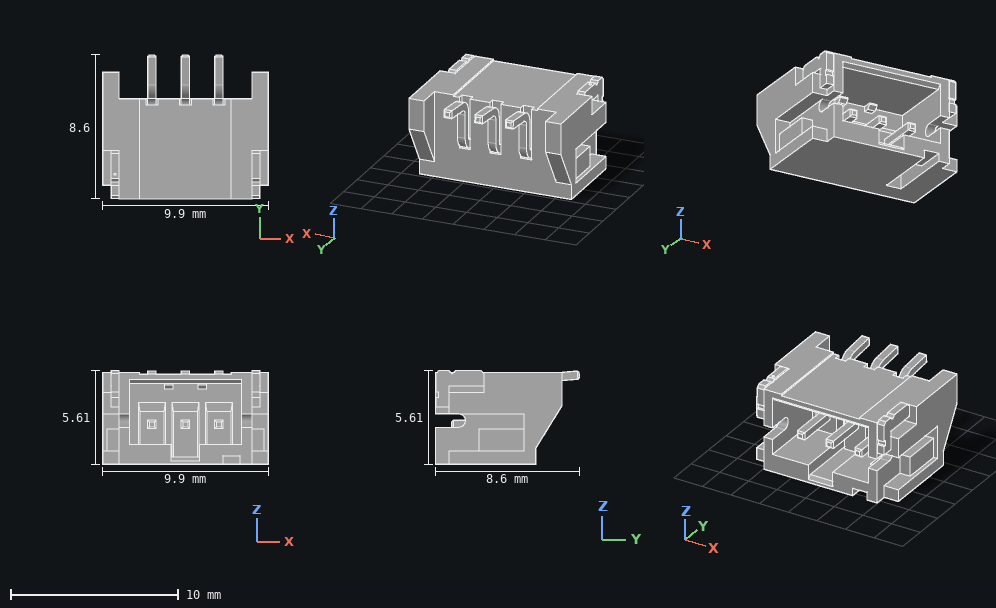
import cadquery as cq
import math


ear_half_width = 4.95
shroud_half_width = 3.96
housing_height = 5.49
shroud_depth = 6.0
ear_depth = 7.57
ear_slope_top = 3.51
ear_slope_bottom = 0.96
ear_front = 0.81
top_recess_half_width = 2.73
top_recess_depth = 0.1

ledge_depth = 2.91
ledge_height = 4.31
pocket_rear = 5.3
pocket_bottom = 0.8
pocket_top = 3.01
rib_outer_half_width = 4.68
rib_front = 2.6
rib_top = 2.11

cavity_half_width = 3.35
cavity_floor = 1.2
cavity_ceiling = 4.82
cavity_rear = 4.6
ceiling_chamfer = 0.25
key_slot_half_width = 0.85
key_slot_floor = 0.45
key_slot_chamfer = 0.23

wall_slot_bottom = 2.22
wall_slot_end = 1.79

ceiling_rib_width = 0.51
ceiling_rib_drop = 0.33
ceiling_rib_chamfer = 0.25

groove_left = 2.25
groove_right = 3.25
groove_height = 0.51
window_front = 2.08

pitch = 2.0
contact_x = [-pitch, 0, pitch]
contact_size = 0.5
contact_z = 2.39
contact_tip = 0.97
tip_chamfer = 0.11
bend_radius = 0.64
upper_bend_z = 4.54
tail_angle = 5.0
tail_length = 1.77
exit_width = 0.7
exit_depth = 0.4

block_front = 3.96
block_half_width = 0.8
block_front_half_width = 0.72
block_top = 3.7
block_front_top = 3.16

tab_thickness = 0.48
tab_top = 5.61
tab_front = 0.03
tab_foot_bottom = 4.68
tab_leg_bottom = 3.42
tab_chamfer = 0.19
vee_depth = 0.21
vee_y = 1.01
notch_depth = 0.16
notch_bottom = 4.0
notch_top = 4.32
dimple_length = 0.12
dimple_width = 0.08
dimple_depth = 0.05
dimple_y = 1.48


def box(x0, x1, y0, y1, z0, z1):
    """Box between two opposite corners."""
    return cq.Workplane().box(x1 - x0, y1 - y0, z1 - z0, centered=False).translate((x0, y0, z0))


def side_prism(outline, x0, x1):
    """Outline of (y, z) points extruded along X from x0 to x1."""
    return cq.Workplane("YZ").polyline(outline).close().extrude(x1 - x0).translate((x0, 0, 0))


def both_sides(shape):
    """The shape together with its mirror image across X = 0."""
    return shape.union(shape.mirror("YZ"))


def make_ear():
    """Side ear at +X, with the tab ledge and the outer pocket cut into it."""
    outline = [
        (ear_front, 0),
        (shroud_depth, 0),
        (shroud_depth, ear_slope_bottom),
        (ear_depth, ear_slope_top),
        (ear_depth, housing_height),
        (ledge_depth, housing_height),
        (ledge_depth, ledge_height),
        (ear_front, ledge_height),
    ]
    ear = side_prism(outline, shroud_half_width, ear_half_width)
    pocket = box(shroud_half_width, ear_half_width, ear_front, pocket_rear, pocket_bottom, pocket_top)
    rib = box(shroud_half_width, rib_outer_half_width, rib_front, pocket_rear, pocket_bottom, rib_top)
    return ear.cut(pocket).union(rib)


def make_cavity():
    """Mating cavity with its ceiling chamfer and the chamfered key slot in its floor."""
    chamfered_ceiling = [
        (0, cavity_floor),
        (cavity_rear, cavity_floor),
        (cavity_rear, cavity_ceiling),
        (ceiling_chamfer, cavity_ceiling),
        (0, cavity_ceiling + ceiling_chamfer),
    ]
    key_slot = [
        (0, key_slot_floor - key_slot_chamfer),
        (key_slot_chamfer, key_slot_floor),
        (cavity_rear, key_slot_floor),
        (cavity_rear, cavity_floor),
        (0, cavity_floor),
    ]
    return side_prism(chamfered_ceiling, -cavity_half_width, cavity_half_width).union(
        side_prism(key_slot, -key_slot_half_width, key_slot_half_width)
    )


def make_wall_slot():
    """Round-ended slot through the +X cavity wall, open at the mating face."""
    radius = (pocket_top - wall_slot_bottom) / 2
    return (
        cq.Workplane("YZ")
        .moveTo(0, wall_slot_bottom)
        .lineTo(wall_slot_end - radius, wall_slot_bottom)
        .threePointArc(
            (wall_slot_end, wall_slot_bottom + radius),
            (wall_slot_end - radius, pocket_top),
        )
        .lineTo(0, pocket_top)
        .close()
        .extrude(shroud_half_width - cavity_half_width)
        .translate((cavity_half_width, 0, 0))
    )


def make_ceiling_rib(x):
    """Rib hanging from the cavity ceiling in front of the rear wall, centred on x."""
    bottom = cavity_ceiling - ceiling_rib_drop
    outline = [
        (block_front, cavity_ceiling),
        (block_front, bottom + ceiling_rib_chamfer),
        (block_front + ceiling_rib_chamfer, bottom),
        (cavity_rear, bottom),
        (cavity_rear, cavity_ceiling),
    ]
    return side_prism(outline, x - ceiling_rib_width / 2, x + ceiling_rib_width / 2)


def make_block(x, bottom):
    """Tapered block on the rear wall: a loft from the wall to a smaller front face."""
    return (
        cq.Workplane("XZ", origin=(x, cavity_rear, bottom))
        .rect(2 * block_half_width, 2 * (block_top - bottom))
        .workplane(offset=cavity_rear - block_front)
        .rect(2 * block_front_half_width, 2 * (block_front_top - bottom))
        .loft()
        .intersect(box(-ear_half_width, ear_half_width, 0, shroud_depth, bottom, housing_height))
    )


def make_contact(x):
    """Square contact: straight mating pin, upward bend, rearward bend and sloping tail."""
    tilt = math.radians(tail_angle)
    diagonal = bend_radius * math.sqrt(0.5)
    lower_center = (shroud_depth - exit_depth, contact_z + bend_radius)
    upper_center = (lower_center[0] + 2 * bend_radius, upper_bend_z)
    mid_angle = (math.pi / 2 - tilt) / 2
    tail_start = (
        upper_center[0] - bend_radius * math.sin(tilt),
        upper_center[1] + bend_radius * math.cos(tilt),
    )
    path = (
        cq.Workplane("YZ")
        .moveTo(contact_tip, contact_z)
        .lineTo(lower_center[0], contact_z)
        .threePointArc(
            (lower_center[0] + diagonal, lower_center[1] - diagonal),
            (lower_center[0] + bend_radius, lower_center[1]),
        )
        .lineTo(upper_center[0] - bend_radius, upper_bend_z)
        .threePointArc(
            (
                upper_center[0] - bend_radius * math.cos(mid_angle),
                upper_center[1] + bend_radius * math.sin(mid_angle),
            ),
            tail_start,
        )
        .lineTo(
            tail_start[0] + tail_length * math.cos(tilt),
            tail_start[1] + tail_length * math.sin(tilt),
        )
    )
    contact = (
        cq.Workplane("XZ", origin=(0, contact_tip, contact_z))
        .rect(contact_size, contact_size)
        .sweep(path)
    )
    contact = contact.faces("<Y").chamfer(tip_chamfer)
    contact = contact.faces(">Y").chamfer(tip_chamfer)
    return contact.translate((x, 0, 0))


def make_exit_channel(x):
    """Open channel in the rear face through which a contact rises."""
    return box(
        x - exit_width / 2,
        x + exit_width / 2,
        shroud_depth - exit_depth,
        shroud_depth,
        contact_z - contact_size / 2,
        housing_height,
    )


def make_groove():
    """Groove along the underside that opens up through the cavity floor behind window_front."""
    outline = [
        (0, 0),
        (cavity_rear, 0),
        (cavity_rear, cavity_floor),
        (window_front, cavity_floor),
        (window_front, groove_height),
        (0, groove_height),
    ]
    return side_prism(outline, groove_left, groove_right)


def make_housing():
    """Housing in one piece with its three contacts."""
    housing = box(-shroud_half_width, shroud_half_width, 0, shroud_depth, 0, housing_height)
    housing = housing.union(both_sides(make_ear()))
    housing = housing.cut(
        box(
            -top_recess_half_width,
            top_recess_half_width,
            0,
            shroud_depth,
            housing_height - top_recess_depth,
            housing_height,
        )
    )
    housing = housing.cut(make_cavity())
    housing = housing.cut(both_sides(make_wall_slot()))

    housing = housing.cut(make_groove())

    for x in (-pitch / 2, pitch / 2):
        housing = housing.union(make_ceiling_rib(x))
    for x in contact_x:
        block_bottom = key_slot_floor if x == 0 else cavity_floor
        housing = housing.union(make_block(x, block_bottom))
        housing = housing.cut(make_exit_channel(x))
        housing = housing.union(make_contact(x))
    return housing


def make_tab():
    """L-shaped solder tab against the +X side of the shroud."""
    outline = [
        (tab_front, tab_leg_bottom),
        (ear_front, tab_leg_bottom),
        (ear_front, tab_foot_bottom),
        (ledge_depth, tab_foot_bottom),
        (ledge_depth, tab_top - tab_chamfer),
        (ledge_depth - tab_chamfer, tab_top),
        (vee_y + vee_depth, tab_top),
        (vee_y, tab_top - vee_depth),
        (vee_y - vee_depth, tab_top),
        (tab_front + tab_chamfer, tab_top),
        (tab_front, tab_top - tab_chamfer),
        (tab_front, notch_top),
        (tab_front + notch_depth, notch_top),
        (tab_front + notch_depth, notch_bottom),
        (tab_front, notch_bottom),
    ]
    return side_prism(outline, shroud_half_width, shroud_half_width + tab_thickness)


def make_dimple():
    """Small rectangular dimple in the top of the -X tab."""
    return cq.Workplane().box(dimple_length, dimple_width, 2 * dimple_depth).translate(
        (-shroud_half_width - tab_thickness / 2, dimple_y, tab_top)
    )


housing = make_housing()
right_tab = make_tab()
left_tab = make_tab().mirror("YZ").cut(make_dimple())

result = cq.Compound.makeCompound([housing.val(), right_tab.val(), left_tab.val()])